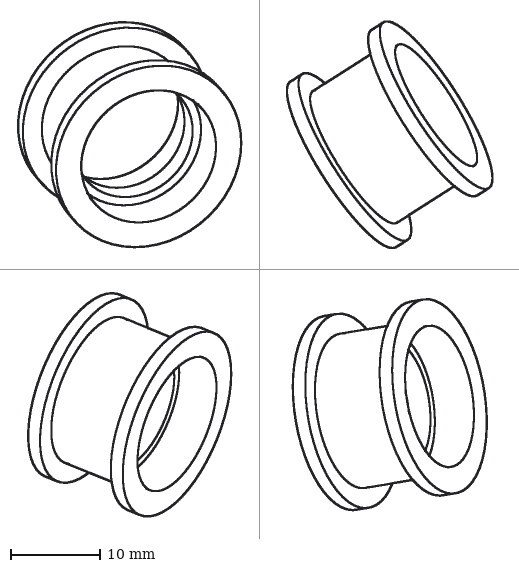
import cadquery as cq

length = 12.7
flange_diameter = 22.0
flange_thickness = 7.3
barrel_diameter = 17.5

bore_diameter = 14.0
counterbore_diameter = 16.0
counterbore_depth = 22.7

half_length = length / 2


def cylinder(diameter, start_x, end_x):
    """Solid cylinder on the X axis between two X positions."""
    return (
        cq.Workplane("YZ", origin=(start_x, 0, 0))
        .circle(diameter / 2)
        .extrude(end_x - start_x)
    )


sleeve = cylinder(barrel_diameter, -half_length, half_length)
for end_x in (-half_length, half_length):
    inward = -0.22 if end_x > 0 else 0.22
    sleeve = sleeve.union(cylinder(flange_diameter, end_x, end_x + inward * flange_thickness))
    sleeve = sleeve.cut(cylinder(counterbore_diameter, end_x, end_x + inward * counterbore_depth))

result = sleeve.cut(cylinder(bore_diameter, -half_length, half_length))